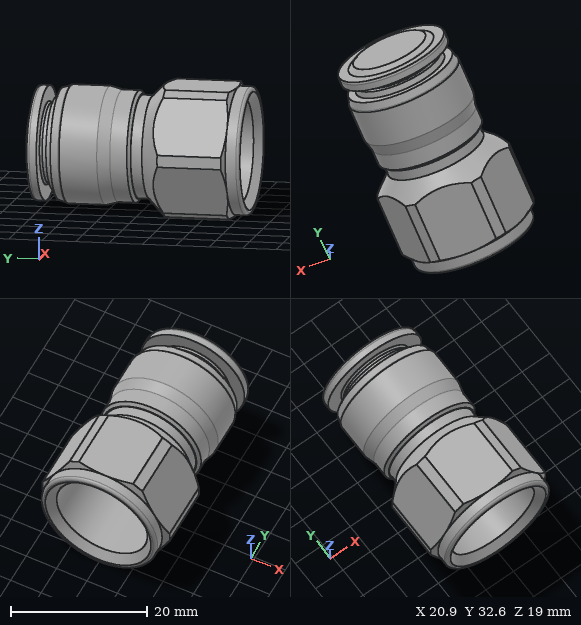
import cadquery as cq

LENGTH = 32.6

ACROSS_FLATS = 19.0
ACROSS_CORNERS = 20.93
NUT_RADIUS = ACROSS_FLATS / 2
CORNER_RADIUS = 10.5
COLLAR_LENGTH = 2.02
NUT_EDGE_START = 2.55
NUT_EDGE_END = 12.03
MOUTH_ROUND = 0.5

NECK_RADIUS = 7.63
NECK_START = NUT_EDGE_END + CORNER_RADIUS - NECK_RADIUS
NECK_END = 16.55
SLEEVE_RADIUS = 8.28
SLEEVE_CHAMFER_RADIUS = 7.75
SLEEVE_CHAMFER_LENGTH = 0.45
SLEEVE_END = 19.6
BARREL_RADIUS = 8.77
BARREL_START = 21.45
BARREL_END = 27.05
BARREL_LIP_RADIUS = 8.65
BARREL_LIP_LENGTH = 0.23
SHOULDER_RADIUS = 8.3
SHOULDER_END = 28.45
GUIDE_BASE_RADIUS = 7.07
GUIDE_TIP_RADIUS = 6.85
GUIDE_END = 29.4

STEM_RADIUS = 5.93
STEM_FLARE_RADIUS = 6.15
STEM_FLARE_START = 30.15
FLANGE_RADIUS = 8.5
FLANGE_RIM_RADIUS = 8.4
FLANGE_START = 30.5
FLANGE_RIM_START = 31.62
FLANGE_END = 31.95
CAP_BASE_RADIUS = 6.78
CAP_TIP_RADIUS = 5.77

MOUTH_RADIUS = 8.7
BORE_RADIUS = 7.45
MOUTH_CONE_DEPTH = MOUTH_RADIUS - BORE_RADIUS
BORE_DEPTH = 13.05
INNER_BORE_RADIUS = 4.53
INNER_BORE_DEPTH = 16.3


def revolve_outline(points):
    """Close an outline of (radius, position) points and turn it about the Y axis."""
    return cq.Workplane("XY").polyline(points).close().revolve(360, (0, 0, 0), (0, 1, 0))


def make_nut():
    """Trimmed hexagon, bevelled at both ends, with a round collar at the mouth."""
    bevelled = revolve_outline([
        (0, COLLAR_LENGTH),
        (NUT_RADIUS, COLLAR_LENGTH),
        (CORNER_RADIUS, NUT_EDGE_START),
        (CORNER_RADIUS, NUT_EDGE_END),
        (NECK_RADIUS, NECK_START),
        (0, NECK_START),
    ])
    prism_plane = cq.Workplane("XZ")
    hexagon = (
        prism_plane.polygon(6, ACROSS_FLATS, circumscribed=True)
        .extrude(-NECK_START)
        .rotate((0, 0, 0), (0, 1, 0), 30)
    )
    corner_trim = prism_plane.polygon(6, ACROSS_CORNERS, circumscribed=True).extrude(-NECK_START)
    collar = prism_plane.circle(NUT_RADIUS).extrude(-COLLAR_LENGTH).faces("<Y").edges().fillet(MOUTH_ROUND)
    return bevelled.intersect(hexagon).intersect(corner_trim).union(collar)


def make_body():
    """Neck, sleeve, barrel and release button in one turned outline."""
    return revolve_outline([
        (0, NECK_START),
        (NECK_RADIUS, NECK_START),
        (NECK_RADIUS, NECK_END),
        (SLEEVE_CHAMFER_RADIUS, NECK_END),
        (SLEEVE_RADIUS, NECK_END + SLEEVE_CHAMFER_LENGTH),
        (SLEEVE_RADIUS, SLEEVE_END),
        (BARREL_RADIUS, BARREL_START),
        (BARREL_RADIUS, BARREL_END),
        (BARREL_LIP_RADIUS, BARREL_END + BARREL_LIP_LENGTH),
        (SHOULDER_RADIUS, SHOULDER_END),
        (GUIDE_BASE_RADIUS, SHOULDER_END),
        (GUIDE_TIP_RADIUS, GUIDE_END),
        (STEM_RADIUS, GUIDE_END),
        (STEM_RADIUS, STEM_FLARE_START),
        (STEM_FLARE_RADIUS, FLANGE_START),
        (FLANGE_RADIUS, FLANGE_START),
        (FLANGE_RADIUS, FLANGE_RIM_START),
        (FLANGE_RIM_RADIUS, FLANGE_END),
        (CAP_BASE_RADIUS, FLANGE_END),
        (CAP_TIP_RADIUS, LENGTH),
        (0, LENGTH),
    ])


def make_socket():
    """Countersunk, stepped blind bore to be cut from the nut end."""
    return revolve_outline([
        (0, 0),
        (MOUTH_RADIUS, 0),
        (BORE_RADIUS, MOUTH_CONE_DEPTH),
        (BORE_RADIUS, BORE_DEPTH),
        (INNER_BORE_RADIUS, BORE_DEPTH),
        (INNER_BORE_RADIUS, INNER_BORE_DEPTH),
        (0, INNER_BORE_DEPTH),
    ])


result = make_nut().union(make_body()).cut(make_socket())